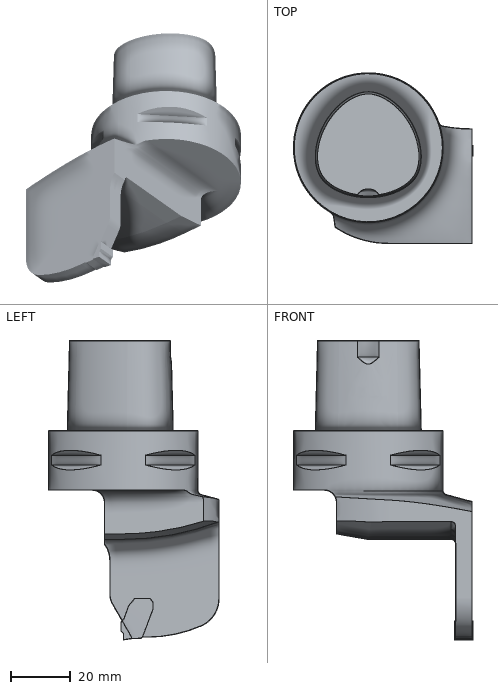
import cadquery as cq
import math


SHANK_LENGTH = 30.0
SHANK_LOBE_COUNT = 3
SHANK_MEAN_RADIUS = 17.7
SHANK_LOBE_HEIGHT = 1.0
SHANK_SHRINK = 0.75
SHANK_FACE_HALF_ANGLE = 25.0

NOTCH_RADIUS = 4.25
NOTCH_AXIS_Y = -18.0
NOTCH_DEPTH = 5.5

FLANGE_RADIUS = 25.0
FLANGE_HEIGHT = 20.0
FLANGE_CHAMFER = 0.25

GROOVE_COUNT = 4
GROOVE_FLOOR_DISTANCE = 22.1
GROOVE_FLOOR_HEIGHT = 3.2
GROOVE_WALL_ANGLE = 30.0
GROOVE_MID_Z = -9.95

ARM_LEFT_X = -10.65
ARM_RIGHT_X = 34.65
ARM_BACK_Y = 6.3
ARM_FRONT_Y = -32.0
ARM_CORNER_RADIUS = 32.0
ARM_CORNER_START_X = 6.8
ARM_FLARE_RADIUS = 4.0
SHOULDER_ANGLE = 15.0
SHOULDER_START_Z = -21.2
SHOULDER_FILLET = 1.2
ARM_BOTTOM_Z = -36.4
ARM_FRONT_BOTTOM_Z = -30.5
UNDERSIDE_CREASE_X = -0.2
UNDERSIDE_TILT = 10.0
UNDERSIDE_SKEW = 1.3
UNDERSIDE_FILLET = 1.5

BLADE_THICKNESS = 5.5
BLADE_LEFT_X = ARM_RIGHT_X - BLADE_THICKNESS
BLADE_BACK_Y = 4.5
BLADE_NECK_TOP_Z = -38.0
BLADE_NECK_BOTTOM_Z = -43.4
BLADE_BOTTOM_Z = -69.1
BLADE_TIP_Y = -2.8
BLADE_SLANT_ANGLE = 30.0
BLADE_SLANT_ROUND = 7.0
BLADE_BOTTOM_RADIUS = 45.0
BLADE_BOTTOM_FLAT_END_Y = -8.0
BLADE_CORNER_RADIUS = 10.0

INSERT_TIP_Z = -70.0
INSERT_OUTLINE = [
    (0.0, INSERT_TIP_Z),
    (-2.7, -69.6),
    (-5.9, -69.5),
    (-6.4, BLADE_BOTTOM_Z),
    (-9.9, -59.8),
    (-9.9, -57.4),
    (-8.9, -56.1),
    (-3.9, -56.1),
    (-1.8, -58.6),
    (-0.3, -62.8),
    (0.8, -64.1),
    (0.8, -67.0),
    (0.0, -67.8),
]
INSERT_HEAD_OVERHANG = 0.35

MARGIN = 1.0


def sine(degrees):
    return math.sin(math.radians(degrees))


def cosine(degrees):
    return math.cos(math.radians(degrees))


def tangent(degrees):
    return math.tan(math.radians(degrees))


def shank_wire(mean_radius, z):
    """Three-lobed curve of constant width, traced by the angle of its normal."""

    def point(angle):
        support = mean_radius + SHANK_LOBE_HEIGHT * cosine(SHANK_LOBE_COUNT * (angle - 90))
        slope = -SHANK_LOBE_COUNT * SHANK_LOBE_HEIGHT * sine(SHANK_LOBE_COUNT * (angle - 90))
        return cq.Vector(
            support * cosine(angle) - slope * sine(angle),
            support * sine(angle) + slope * cosine(angle),
            z,
        )

    spacing = 360 / SHANK_LOBE_COUNT
    points_per_stretch = 8
    edges = []
    for i in range(SHANK_LOBE_COUNT):
        face_angle = i * spacing - 90
        face_start = face_angle - SHANK_FACE_HALF_ANGLE
        face_end = face_angle + SHANK_FACE_HALF_ANGLE
        for start, end in ((face_start, face_end), (face_end, face_start + spacing)):
            step = (end - start) / points_per_stretch
            points = [point(start + j * step) for j in range(points_per_stretch + 1)]
            along = [cq.Vector(-sine(angle), cosine(angle), 0) for angle in (start, end)]
            edges.append(cq.Edge.makeSpline(points, tangents=along))
    return cq.Wire.assembleEdges(edges)


def make_shank():
    bottom = shank_wire(SHANK_MEAN_RADIUS, 0)
    top = shank_wire(SHANK_MEAN_RADIUS - SHANK_SHRINK, SHANK_LENGTH)
    shank = cq.Workplane(cq.Solid.makeLoft([bottom, top], True))
    notch_floor_z = SHANK_LENGTH - NOTCH_DEPTH
    notch = (
        cq.Workplane("XZ")
        .moveTo(0, SHANK_LENGTH)
        .lineTo(NOTCH_RADIUS, SHANK_LENGTH)
        .lineTo(NOTCH_RADIUS, notch_floor_z)
        .lineTo(0, notch_floor_z - NOTCH_RADIUS)
        .close()
        .revolve(360, (0, 0, 0), (0, 1, 0))
        .translate((0, NOTCH_AXIS_Y, 0))
    )
    return shank.cut(notch)


def make_flange():
    flange = (
        cq.Workplane("XY")
        .circle(FLANGE_RADIUS)
        .extrude(-FLANGE_HEIGHT)
        .faces(">Z")
        .edges()
        .chamfer(FLANGE_CHAMFER)
    )
    depth = FLANGE_RADIUS - GROOVE_FLOOR_DISTANCE
    floor_half = GROOVE_FLOOR_HEIGHT / 2
    mouth_half = floor_half + depth * tangent(GROOVE_WALL_ANGLE)
    groove = (
        cq.Workplane("XZ")
        .polyline(
            [
                (GROOVE_FLOOR_DISTANCE, GROOVE_MID_Z - floor_half),
                (FLANGE_RADIUS, GROOVE_MID_Z - mouth_half),
                (FLANGE_RADIUS, GROOVE_MID_Z + mouth_half),
                (GROOVE_FLOOR_DISTANCE, GROOVE_MID_Z + floor_half),
            ]
        )
        .close()
        .extrude(FLANGE_RADIUS, both=True)
    )
    spacing = 360 / GROOVE_COUNT
    for i in range(GROOVE_COUNT):
        flange = flange.cut(groove.rotate((0, 0, 0), (0, 0, 1), spacing * (i + 0.5)))
    return flange


def shoulder_envelope():
    """Solid of revolution whose upper side is the cone, blended into the flange."""
    outer_radius = math.hypot(ARM_RIGHT_X, ARM_FRONT_Y) + MARGIN
    reach = SHOULDER_FILLET * tangent((90 - SHOULDER_ANGLE) / 2)
    fillet_centre_r = FLANGE_RADIUS + SHOULDER_FILLET
    fillet_top_z = SHOULDER_START_Z + reach
    cone_start_r = FLANGE_RADIUS + reach * cosine(SHOULDER_ANGLE)
    cone_start_z = SHOULDER_START_Z - reach * sine(SHOULDER_ANGLE)
    mid_angle = 180 + (90 - SHOULDER_ANGLE) / 2
    mid = (
        fillet_centre_r + SHOULDER_FILLET * cosine(mid_angle),
        fillet_top_z + SHOULDER_FILLET * sine(mid_angle),
    )
    cone_end_z = SHOULDER_START_Z - (outer_radius - FLANGE_RADIUS) * tangent(SHOULDER_ANGLE)
    return (
        cq.Workplane("XZ")
        .moveTo(0, -FLANGE_HEIGHT)
        .lineTo(FLANGE_RADIUS, -FLANGE_HEIGHT)
        .lineTo(FLANGE_RADIUS, fillet_top_z)
        .threePointArc(mid, (cone_start_r, cone_start_z))
        .lineTo(outer_radius, cone_end_z)
        .lineTo(outer_radius, INSERT_TIP_Z)
        .lineTo(0, INSERT_TIP_Z)
        .close()
        .revolve(360, (0, 0, 0), (0, 1, 0))
    )


UNDERSIDE_RISE = ARM_FRONT_BOTTOM_Z - ARM_BOTTOM_Z
UNDERSIDE_RADIUS = (ARM_FRONT_Y**2 + UNDERSIDE_RISE**2) / (2 * UNDERSIDE_RISE)


def underside_z(y):
    """Height of the curved front part of the underside."""
    return ARM_BOTTOM_Z + UNDERSIDE_RADIUS - math.sqrt(UNDERSIDE_RADIUS**2 - y**2)


def flare_mid_offset():
    """Distance of the flare arc's midpoint from each of the two faces it joins."""
    return ARM_FLARE_RADIUS * (1 - cosine(45))


def arm_side_profile():
    """Arm seen along X: flared back side, flat then rising underside."""
    flare_mid = flare_mid_offset()
    arc_mid = (ARM_FRONT_Y / 2, underside_z(ARM_FRONT_Y / 2))
    return (
        cq.Workplane("YZ")
        .moveTo(ARM_FRONT_Y, -FLANGE_HEIGHT)
        .lineTo(ARM_BACK_Y + ARM_FLARE_RADIUS, -FLANGE_HEIGHT)
        .threePointArc(
            (ARM_BACK_Y + flare_mid, -FLANGE_HEIGHT - flare_mid),
            (ARM_BACK_Y, -FLANGE_HEIGHT - ARM_FLARE_RADIUS),
        )
        .lineTo(ARM_BACK_Y, ARM_BOTTOM_Z)
        .lineTo(0, ARM_BOTTOM_Z)
        .threePointArc(arc_mid, (ARM_FRONT_Y, ARM_FRONT_BOTTOM_Z))
        .close()
        .extrude(ARM_RIGHT_X + FLANGE_RADIUS)
        .translate((-FLANGE_RADIUS, 0, 0))
    )


def arm_front_profile():
    """Arm seen along Y: flared left side."""
    flare_mid = flare_mid_offset()
    return (
        cq.Workplane("XZ")
        .moveTo(ARM_RIGHT_X, -FLANGE_HEIGHT)
        .lineTo(ARM_LEFT_X - ARM_FLARE_RADIUS, -FLANGE_HEIGHT)
        .threePointArc(
            (ARM_LEFT_X - flare_mid, -FLANGE_HEIGHT - flare_mid),
            (ARM_LEFT_X, -FLANGE_HEIGHT - ARM_FLARE_RADIUS),
        )
        .lineTo(ARM_LEFT_X, ARM_BOTTOM_Z)
        .lineTo(ARM_RIGHT_X, ARM_BOTTOM_Z)
        .close()
        .extrude(-ARM_FRONT_Y, both=True)
    )


def arm_plan():
    """Arm seen along Z: large round at the front left corner."""
    arc_left_x = ARM_CORNER_START_X - ARM_CORNER_RADIUS
    arc_centre_y = ARM_FRONT_Y + ARM_CORNER_RADIUS
    arc_mid = (
        ARM_CORNER_START_X - ARM_CORNER_RADIUS * cosine(45),
        arc_centre_y - ARM_CORNER_RADIUS * sine(45),
    )
    return (
        cq.Workplane("XY")
        .moveTo(ARM_RIGHT_X, ARM_FRONT_Y)
        .lineTo(ARM_CORNER_START_X, ARM_FRONT_Y)
        .threePointArc(arc_mid, (arc_left_x, arc_centre_y))
        .lineTo(arc_left_x, FLANGE_RADIUS)
        .lineTo(ARM_RIGHT_X, FLANGE_RADIUS)
        .close()
        .extrude(INSERT_TIP_Z)
    )


def underside_tilt_cutter():
    """Space below the tilted left part of the underside."""
    back_y = FLANGE_RADIUS
    front_y = ARM_FRONT_Y - MARGIN
    depth = UNDERSIDE_RISE
    return (
        cq.Workplane("YZ")
        .moveTo(back_y, ARM_BOTTOM_Z)
        .lineTo(0, ARM_BOTTOM_Z)
        .threePointArc((front_y / 2, underside_z(front_y / 2)), (front_y, underside_z(front_y)))
        .lineTo(front_y, ARM_BOTTOM_Z - depth)
        .lineTo(back_y, ARM_BOTTOM_Z - depth)
        .close()
        .extrude(-FLANGE_RADIUS)
        .translate((UNDERSIDE_CREASE_X, 0, 0))
        .rotate(
            (UNDERSIDE_CREASE_X, 0, ARM_BOTTOM_Z),
            (UNDERSIDE_CREASE_X, 1, ARM_BOTTOM_Z),
            UNDERSIDE_TILT,
        )
        .rotate((UNDERSIDE_CREASE_X, 0, 0), (UNDERSIDE_CREASE_X, 0, 1), UNDERSIDE_SKEW)
    )


SLANT_TOP_Z = BLADE_BOTTOM_Z + (BLADE_BACK_Y - BLADE_TIP_Y) / tangent(BLADE_SLANT_ANGLE)


def make_blade():
    neck_inset = ARM_BACK_Y - BLADE_BACK_Y
    neck_height = BLADE_NECK_TOP_Z - BLADE_NECK_BOTTOM_Z
    neck_radius = (neck_inset**2 + neck_height**2) / (2 * neck_inset)
    neck_mid_z = BLADE_NECK_BOTTOM_Z + neck_height / 2
    neck_mid_y = BLADE_BACK_Y + neck_radius - math.sqrt(neck_radius**2 - (neck_height / 2) ** 2)

    def bottom_z(y):
        run = BLADE_BOTTOM_FLAT_END_Y - y
        return BLADE_BOTTOM_Z + BLADE_BOTTOM_RADIUS - math.sqrt(BLADE_BOTTOM_RADIUS**2 - run**2)

    bottom_mid_y = (BLADE_BOTTOM_FLAT_END_Y + ARM_FRONT_Y) / 2
    corner_z = bottom_z(ARM_FRONT_Y)
    blade = (
        cq.Workplane("YZ")
        .moveTo(ARM_FRONT_Y, ARM_FRONT_BOTTOM_Z)
        .lineTo(ARM_BACK_Y, ARM_FRONT_BOTTOM_Z)
        .lineTo(ARM_BACK_Y, BLADE_NECK_TOP_Z)
        .threePointArc((neck_mid_y, neck_mid_z), (BLADE_BACK_Y, BLADE_NECK_BOTTOM_Z))
        .lineTo(BLADE_BACK_Y, SLANT_TOP_Z)
        .lineTo(BLADE_TIP_Y, BLADE_BOTTOM_Z)
        .lineTo(BLADE_BOTTOM_FLAT_END_Y, BLADE_BOTTOM_Z)
        .threePointArc((bottom_mid_y, bottom_z(bottom_mid_y)), (ARM_FRONT_Y, corner_z))
        .close()
        .extrude(BLADE_THICKNESS)
        .translate((BLADE_LEFT_X, 0, 0))
    )
    blade_mid_x = BLADE_LEFT_X + BLADE_THICKNESS / 2
    slant_edge = cq.NearestToPointSelector((blade_mid_x, BLADE_BACK_Y, SLANT_TOP_Z))
    blade = blade.edges(slant_edge).fillet(BLADE_SLANT_ROUND)
    corner_edge = cq.NearestToPointSelector((blade_mid_x, ARM_FRONT_Y, corner_z))
    return blade.edges(corner_edge).fillet(BLADE_CORNER_RADIUS)


def make_arm(blade):
    arm = arm_side_profile().intersect(arm_front_profile())
    arm = arm.intersect(arm_plan()).intersect(shoulder_envelope())
    arm = arm.cut(underside_tilt_cutter()).union(blade)
    box_half = 0.1
    corner_edges = cq.selectors.BoxSelector(
        (BLADE_LEFT_X - box_half, ARM_FRONT_Y - MARGIN, ARM_BOTTOM_Z - box_half),
        (BLADE_LEFT_X + box_half, ARM_BACK_Y + MARGIN, ARM_FRONT_BOTTOM_Z - box_half),
    )
    return arm.edges(corner_edges).fillet(UNDERSIDE_FILLET)


def insert_prism(left_x, right_x):
    return (
        cq.Workplane("YZ")
        .polyline(INSERT_OUTLINE)
        .close()
        .extrude(right_x - left_x)
        .translate((left_x, 0, 0))
    )


def make_insert():
    """Insert flush with the blade's sides, except for its wider head outside the blade."""
    wide = insert_prism(BLADE_LEFT_X - INSERT_HEAD_OVERHANG, ARM_RIGHT_X + INSERT_HEAD_OVERHANG)
    head_region = (
        cq.Workplane("YZ")
        .polyline(
            [
                (BLADE_TIP_Y, INSERT_TIP_Z),
                (BLADE_TIP_Y, BLADE_BOTTOM_Z),
                (BLADE_BACK_Y, SLANT_TOP_Z),
                (BLADE_BACK_Y, INSERT_TIP_Z),
            ]
        )
        .close()
        .extrude(2 * ARM_RIGHT_X)
    )
    flush = insert_prism(BLADE_LEFT_X, ARM_RIGHT_X)
    return flush.union(wide.intersect(head_region))


holder = make_shank().union(make_flange()).union(make_arm(make_blade()))
holder = holder.cut(insert_prism(BLADE_LEFT_X, ARM_RIGHT_X))

insert = make_insert()

result = cq.Compound.makeCompound([holder.solids().val(), insert.solids().val()])